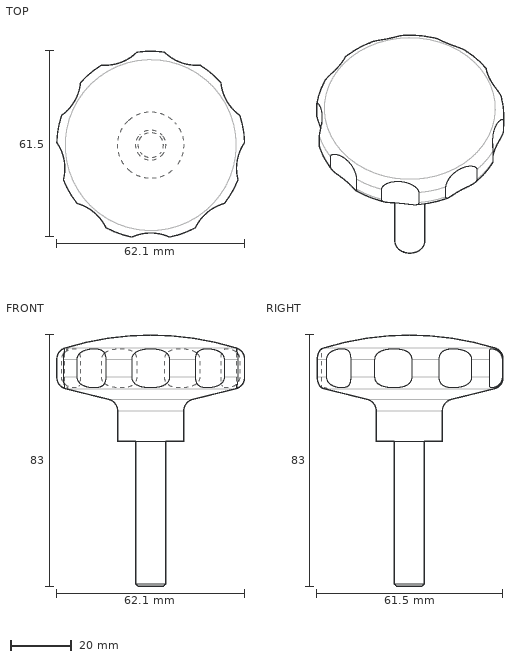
import cadquery as cq
import math

STUD_RADIUS = 5.0
STUD_CHAMFER = 0.8
HUB_RADIUS = 10.95
HUB_BOTTOM = 47.9
HUB_TOP = 57.9

HEIGHT = 83.0
RIM_RADIUS = 31.05
EDGE_ROUND = 4.0
RIM_BOTTOM = 69.05
RIM_TOP = 74.95
FACE_RADIUS = 28.2
NECK_ROUND = 3.9
UNDERSIDE_SLOPE = math.radians(14.5)

FLUTE_COUNT = 9
FLUTE_HALF_WIDTH = 6.2
FLUTE_FLOOR = 29.05
FIRST_FLUTE_ANGLE = 270.0


def edge_arc_point(angle, center_z):
    """Radius and height of a point on the rounded outer edge of the head."""
    return (
        RIM_RADIUS - EDGE_ROUND + EDGE_ROUND * math.cos(angle),
        center_z + EDGE_ROUND * math.sin(angle),
    )


def make_body():
    """Revolve the stud, hub and domed head as one profile."""
    face_angle = math.acos(1 - (RIM_RADIUS - FACE_RADIUS) / EDGE_ROUND)
    face_edge = edge_arc_point(face_angle, RIM_TOP)
    under_angle = UNDERSIDE_SLOPE - math.pi / 2
    under_edge = edge_arc_point(under_angle, RIM_BOTTOM)
    neck_center_r = HUB_RADIUS + NECK_ROUND
    neck_sweep = math.pi / 2 - UNDERSIDE_SLOPE

    def neck_point(sweep):
        return (
            neck_center_r - NECK_ROUND * math.cos(sweep),
            HUB_TOP + NECK_ROUND * math.sin(sweep),
        )

    dome_rise = HEIGHT - face_edge[1]
    dome_radius = (FACE_RADIUS**2 + dome_rise**2) / (2 * dome_rise)
    dome_mid_angle = math.asin(FACE_RADIUS / dome_radius) / 2
    dome_mid = (
        dome_radius * math.sin(dome_mid_angle),
        HEIGHT - dome_radius * (1 - math.cos(dome_mid_angle)),
    )
    return (
        cq.Workplane("XZ")
        .lineTo(STUD_RADIUS - STUD_CHAMFER, 0)
        .lineTo(STUD_RADIUS, STUD_CHAMFER)
        .lineTo(STUD_RADIUS, HUB_BOTTOM)
        .lineTo(HUB_RADIUS, HUB_BOTTOM)
        .lineTo(HUB_RADIUS, HUB_TOP)
        .threePointArc(neck_point(neck_sweep / 2), neck_point(neck_sweep))
        .lineTo(*under_edge)
        .threePointArc(edge_arc_point(under_angle / 2, RIM_BOTTOM), (RIM_RADIUS, RIM_BOTTOM))
        .lineTo(RIM_RADIUS, RIM_TOP)
        .threePointArc(edge_arc_point(face_angle / 2, RIM_TOP), face_edge)
        .threePointArc(dome_mid, (0, HEIGHT))
        .close()
        .revolve(360, (0, 0, 0), (0, 1, 0))
    )


def make_flutes():
    """Upright cylinders whose sides scoop the finger flutes out of the rim."""
    edge_distance = math.sqrt(RIM_RADIUS**2 - FLUTE_HALF_WIDTH**2)
    depth = edge_distance - FLUTE_FLOOR
    flute_radius = (FLUTE_HALF_WIDTH**2 + depth**2) / (2 * depth)
    return (
        cq.Workplane("XY")
        .workplane(offset=HUB_TOP)
        .polarArray(FLUTE_FLOOR + flute_radius, FIRST_FLUTE_ANGLE, 360, FLUTE_COUNT)
        .circle(flute_radius)
        .extrude(HEIGHT - HUB_TOP)
    )


result = make_body().cut(make_flutes())